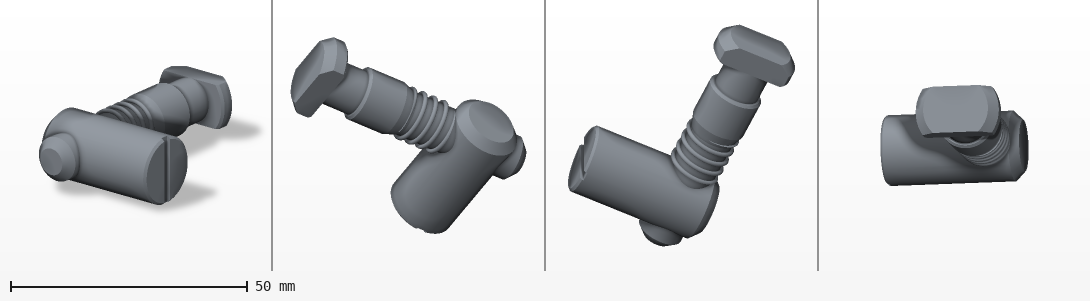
import cadquery as cq


barrel_radius = 7.5
barrel_left = -7.0
barrel_right = 22.5
nose_chamfer = 2.0
small_chamfer = 0.5
slot_width = 2.0
slot_depth = 0.85

bolt_length = 52.0
pin_end = -11.0
head_end = pin_end + bolt_length
head_thickness = 5.0
head_underside = head_end - head_thickness
shoulder_top = 28.95
shoulder_bottom = 20.0
taper_length = 3.0
taper_bottom = shoulder_bottom - taper_length

head_radius = 8.95
neck_radius = 5.0
shoulder_diameter = 11.9
shoulder_radius = shoulder_diameter / 2
pin_radius = 4.95
end_chamfer = 2.0

coil_radius = 5.3
wire_radius = 0.495
coil_pitch = 2.55
coil_turns = 5
coil_start = 6.25
spring_bottom = 7.95
spring_length = 10.0


def make_barrel():
    """Round barrel with a cross hole for the bolt and a screwdriver slot."""
    length = barrel_right - barrel_left
    body = cq.Workplane("YZ", origin=(barrel_left, 0, 0)).circle(barrel_radius).extrude(length)
    body = body.faces("<X").chamfer(nose_chamfer)
    body = body.faces(">X").chamfer(small_chamfer)
    slot = cq.Workplane().box(2 * slot_depth, slot_width, 2 * barrel_radius)
    cross_hole = (
        cq.Workplane("XZ")
        .circle(pin_radius)
        .extrude(barrel_radius, both=True)
    )
    return body.cut(slot.translate((barrel_right, 0, 0))).cut(cross_hole)


def make_shank():
    """Pin, taper, shoulder and neck, turned about Y."""
    profile = [
        (0, pin_end),
        (pin_radius - end_chamfer, pin_end),
        (pin_radius, pin_end + end_chamfer),
        (pin_radius, taper_bottom),
        (shoulder_radius, shoulder_bottom),
        (shoulder_radius, shoulder_top - small_chamfer),
        (shoulder_radius - small_chamfer, shoulder_top),
        (neck_radius, shoulder_top),
        (neck_radius, head_underside),
        (0, head_underside),
    ]
    return cq.Workplane("XY").polyline(profile).close().revolve(360, (0, 0), (0, 1))


def make_head():
    """Chamfered round head with two flats level with the neck."""
    profile = [
        (0, head_underside),
        (head_radius - small_chamfer, head_underside),
        (head_radius, head_underside + small_chamfer),
        (head_radius, head_end - end_chamfer),
        (head_radius - end_chamfer, head_end),
        (0, head_end),
    ]
    disc = cq.Workplane("XY").polyline(profile).close().revolve(360, (0, 0), (0, 1))
    flats = cq.Workplane().box(2 * head_radius, 2 * bolt_length, 2 * neck_radius)
    return disc.intersect(flats)


def make_coil_turn():
    """One left-hand turn of the spring wire, rising along Y from the coil start."""
    path = cq.Wire.makeHelix(coil_pitch, coil_pitch, coil_radius, lefthand=True)
    return (
        cq.Workplane("XZ")
        .center(coil_radius, 0)
        .circle(wire_radius)
        .sweep(cq.Workplane(path), isFrenet=True)
        .rotate((0, 0, 0), (1, 0, 0), -90)
        .translate((0, coil_start, 0))
    )


def make_spring_trim():
    """Block between the two flat ends of the spring."""
    width = 4 * coil_radius
    middle = spring_bottom + spring_length / 2
    return cq.Workplane().box(width, spring_length, width).translate((0, middle, 0))


def make_bolt():
    """Headed bolt with its spring coil as one solid; the coil is added turn by turn."""
    body = make_shank().union(make_head())
    turn = make_coil_turn()
    trim = make_spring_trim()
    for index in range(coil_turns):
        placed_turn = turn.translate((0, index * coil_pitch, 0))
        body = body.union(placed_turn.intersect(trim))
    return body


barrel = make_barrel()
bolt = make_bolt()

result = cq.Compound.makeCompound([barrel.solids().val(), bolt.solids().val()])